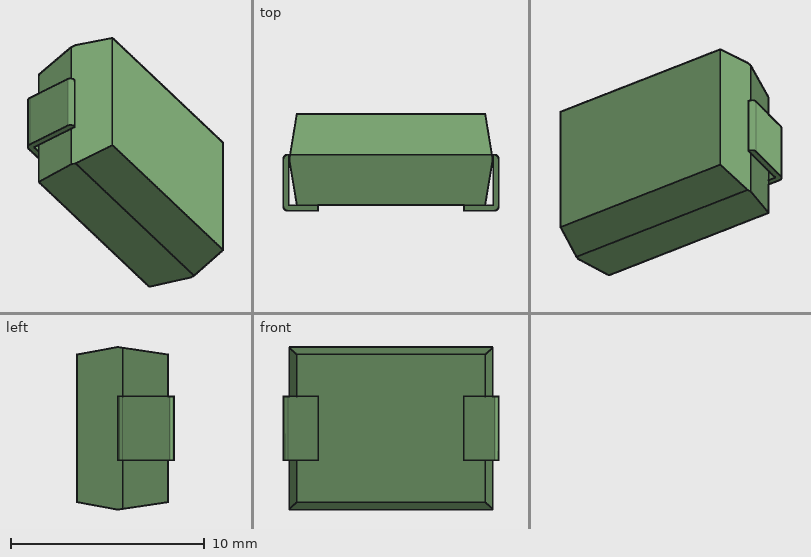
import cadquery as cq

body_depth = 4.7
body_width = 10.5
body_height = 8.4
draft_inset = 0.39
end_ridge_depth = body_depth / 2
top_ridge_depth = 2.6

overall_width = 11.12
strip_thickness = 0.3
strip_height = 3.3
terminal_depth = 2.9
foot_length = 1.8
corner_radius = 0.25



def ridged_section(plane, width, ridge_depth, length):
    """Six-sided prism: widest at the ridge depth, narrower at the front and back faces."""
    ridge = width / 2
    face = ridge - draft_inset
    return (
        cq.Workplane(plane)
        .polyline([
            (-face, 0),
            (face, 0),
            (ridge, ridge_depth),
            (face, body_depth),
            (-face, body_depth),
            (-ridge, ridge_depth),
        ])
        .close()
        .extrude(length / 2, both=True)
    )


def make_body():
    """Block with sloped ends and sloped top and bottom: two ridged prisms, crossed."""
    ends = ridged_section("XY", body_width, end_ridge_depth, body_height)
    top_and_bottom = ridged_section("ZY", body_height, top_ridge_depth, body_width)
    return ends.intersect(top_and_bottom)


def make_terminal(side):
    """L-shaped strip at one end; side is -1 for the -X end and +1 for the +X end."""
    outer = side * overall_width / 2
    inner = outer - side * strip_thickness
    foot_end = outer - side * foot_length
    underside = -strip_thickness
    leg_end = underside + terminal_depth
    strip = (
        cq.Workplane("XY")
        .polyline([
            (outer, underside),
            (outer, leg_end),
            (inner, leg_end),
            (inner, 0),
            (foot_end, 0),
            (foot_end, underside),
        ])
        .close()
        .extrude(strip_height / 2, both=True)
    )
    outer_face = ">X" if side > 0 else "<X"
    return strip.faces(outer_face).edges("|Z").fillet(corner_radius)


body = make_body()
terminals = [make_terminal(side) for side in (-1, 1)]

result = cq.Compound.makeCompound([body.val(), *[terminal.val() for terminal in terminals]])